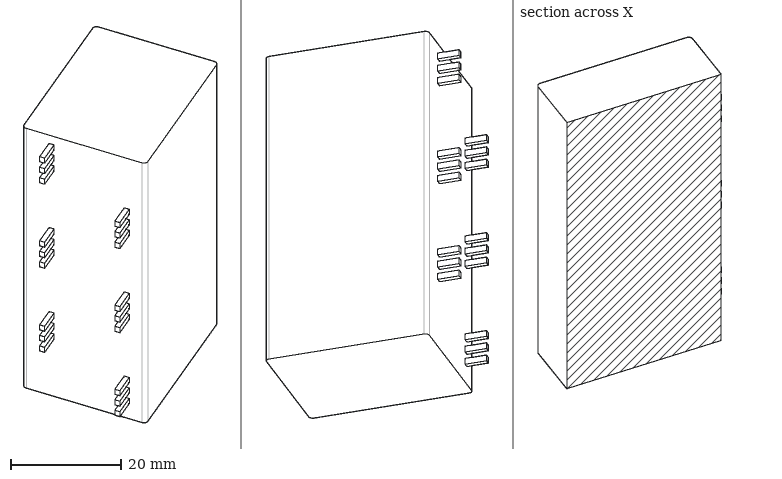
import cadquery as cq

housing_width = 24.7
housing_depth = 31.3
housing_height = 61.8
edge_radius = 0.8

pin_width = 1.0
pin_height = 1.2
pin_length = 4.1
pin_embed = 1.0

pins_per_group = 3
pin_pitch = 2.5
group_count = 6
group_pitch = 10.0
left_column_x = -6.5
column_spacing = 15.0
column_xs = [left_column_x, left_column_x + column_spacing]
first_pin_drop = 2.55


def make_housing():
    """Block centred on X and Z with its -Y face at Y = 0."""
    block = cq.Workplane("XY").box(
        housing_width, housing_depth, housing_height, centered=(True, False, True)
    )
    return block.edges("|Z").fillet(edge_radius)


def pin_positions():
    """(X, Z) centres of all pins, from the top group downwards."""
    positions = []
    for group in range(group_count):
        x = column_xs[group % len(column_xs)]
        group_top = housing_height / 2 - first_pin_drop - group * group_pitch
        for pin in range(pins_per_group):
            positions.append((x, group_top - pin * pin_pitch))
    return positions


def make_pin(x, z):
    """One pin reaching from inside the housing out through its -Y face."""
    pin = cq.Workplane("XY").box(
        pin_width, pin_length + pin_embed, pin_height, centered=(True, False, True)
    )
    return pin.translate((x, -pin_length, z))


result = make_housing()
for pin_x, pin_z in pin_positions():
    result = result.union(make_pin(pin_x, pin_z))